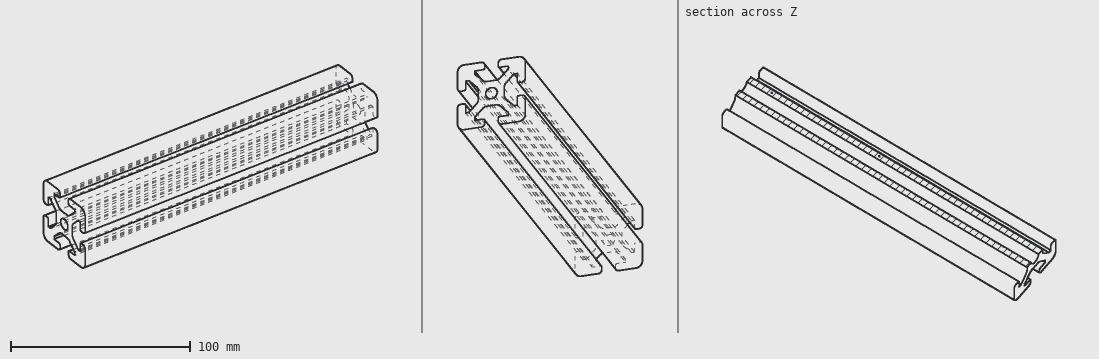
import cadquery as cq

length = 200.0
side = 40.0
corner_radius = 4.0
bore_diameter = 6.8

slot_opening = 8.0
lip_thickness = 4.8
pocket_width = 19.5
floor_height = 7.5
web_thickness = 5.0
lip_outer_radius = 2.0
lip_inner_radius = 1.0
floor_radius = 4.0

half_side = side / 2
half_length = length / 2
half_opening = slot_opening / 2
half_pocket = pocket_width / 2
lip_height = half_side - lip_thickness

flank_offset = web_thickness / 2 * 2**0.5
flank_top = half_pocket + flank_offset
half_floor = floor_height - flank_offset


def mirrored_edges(distance, z):
    """Selector for the mirrored pair of lengthwise edges at x = +-distance and height z."""
    tolerance = 0.02
    edges = None
    for x in (-distance, distance):
        box = cq.selectors.BoxSelector(
            (x - tolerance, -tolerance, z - tolerance),
            (x + tolerance, tolerance, z + tolerance),
        )
        edges = box if edges is None else edges + box
    return edges


def slot_cutter():
    """T-slot opening upward, with its sloped flanks blended into the floor."""
    right_outline = [
        (half_floor, floor_height),
        (half_pocket, flank_top),
        (half_pocket, lip_height),
        (half_opening, lip_height),
        (half_opening, half_side),
    ]
    left_outline = [(-x, z) for x, z in reversed(right_outline)]
    cutter = (
        cq.Workplane("XZ")
        .polyline(right_outline + left_outline)
        .close()
        .extrude(half_length, both=True)
    )
    cutter = cutter.edges(mirrored_edges(half_floor, floor_height)).fillet(floor_radius)
    return cutter.edges(mirrored_edges(half_opening, lip_height)).fillet(lip_inner_radius)


def lip_rounding():
    """Material removed to round the outer corners of the two slot lips."""
    tangent_x = half_opening + lip_outer_radius
    tangent_z = half_side - lip_outer_radius
    diagonal = lip_outer_radius / 2**0.5
    arc_x = tangent_x - diagonal
    arc_z = tangent_z + diagonal
    return (
        cq.Workplane("XZ")
        .moveTo(-tangent_x, half_side)
        .lineTo(tangent_x, half_side)
        .threePointArc((arc_x, arc_z), (half_opening, tangent_z))
        .lineTo(-half_opening, tangent_z)
        .threePointArc((-arc_x, arc_z), (-tangent_x, half_side))
        .close()
        .extrude(half_length, both=True)
    )


result = (
    cq.Workplane("XZ")
    .rect(side, side)
    .circle(bore_diameter / 2)
    .extrude(half_length, both=True)
    .edges("|Y")
    .edges("(<X or >X) and (<Z or >Z)")
    .fillet(corner_radius)
)

slot = slot_cutter()
rounding = lip_rounding()
for angle in (0, 90, 180, 270):
    for cutter in (slot, rounding):
        result = result.cut(cutter.rotate((0, 0, 0), (0, 1, 0), angle))